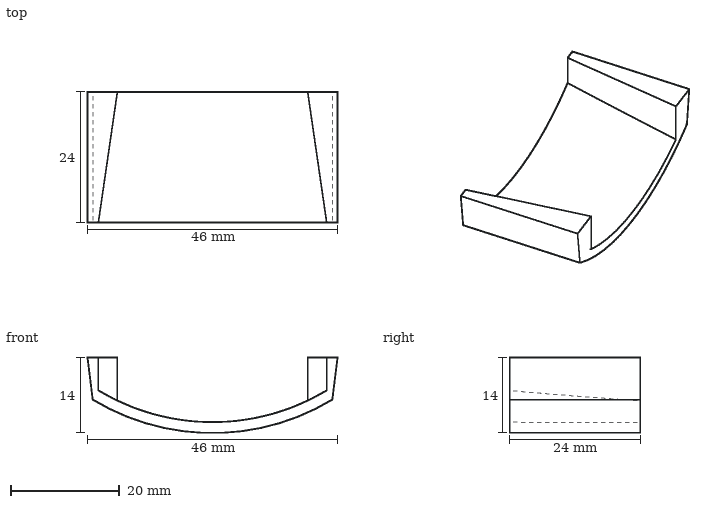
import cadquery as cq

width = 46.0
depth = 24.0
height = 13.95

floor_thickness = 2.02
wall_top = 2.02
wall_height = 7.77
wall_lean = 0.95
inner_wall_height = 6.05
wedge_growth = 3.5

half_width = width / 2
half_cavity_front = half_width - wall_top
half_cavity_back = half_cavity_front - wedge_growth
half_base = half_width - wall_lean
rim_z = height / 2
bottom_z = -rim_z
floor_z = bottom_z + floor_thickness
front_y = -depth / 2


def arched_tray(half_rim, half_floor, side_height, lowest_z):
    """Full-depth solid with a flat top, straight sides and an arched underside."""
    edge_z = rim_z - side_height
    return (
        cq.Workplane("XZ", origin=(0, -front_y, 0))
        .moveTo(-half_rim, rim_z)
        .lineTo(-half_floor, edge_z)
        .threePointArc((0, lowest_z), (half_floor, edge_z))
        .lineTo(half_rim, rim_z)
        .close()
        .extrude(depth)
    )


body = arched_tray(half_width, half_base, wall_height, bottom_z)

cavity = arched_tray(half_cavity_front, half_cavity_front, inner_wall_height, floor_z)
plan_taper = (
    cq.Workplane("XY", origin=(0, 0, bottom_z))
    .polyline([
        (-half_cavity_front, front_y),
        (half_cavity_front, front_y),
        (half_cavity_back, -front_y),
        (-half_cavity_back, -front_y),
    ])
    .close()
    .extrude(height)
)

result = body.cut(cavity.intersect(plan_taper))